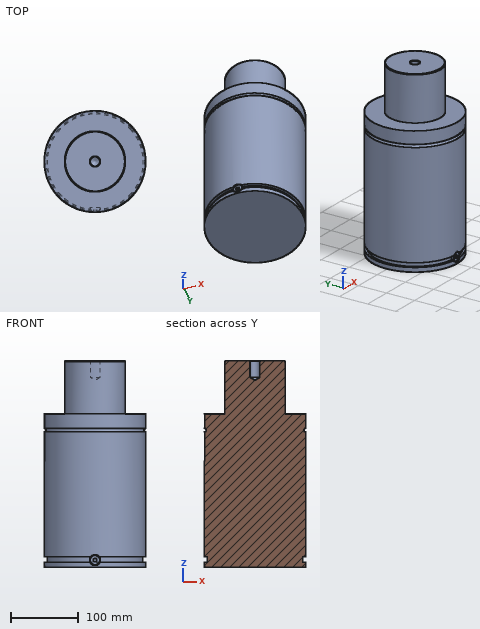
import cadquery as cq
import math

total_height = 305.0
body_diameter = 150.0
rod_diameter = 90.0
body_top = 226.5
rod_edge_chamfer = 1.2
body_radius = body_diameter / 2

flange_height = 7.5
groove_width = 7.5
groove_depth = 4.3

ring_groove_radius = 2.5
ring_groove_z = 202.5

rod_hole_diameter = 14.0
rod_hole_mouth_diameter = 16.0
rod_hole_depth = 24.5
drill_point_angle = 118

plug_bore_diameter = 16.0
plug_diameter = 14.0
plug_z = 10.7
plug_setback = 1.0
plug_bore_depth = 7.5
socket_across_flats = 5.0
socket_depth = 3.0


def cylinder(diameter, bottom, height):
    """Upright cylinder on the part axis."""
    return cq.Workplane("XY").workplane(offset=bottom).circle(diameter / 2).extrude(height)


def make_body():
    body = cylinder(body_diameter, 0, body_top)
    groove_floor = cylinder(body_diameter - 2 * groove_depth, flange_height, groove_width)
    groove = cylinder(body_diameter, flange_height, groove_width).cut(groove_floor)
    ring_groove = cq.Workplane("XY").add(
        cq.Solid.makeTorus(body_radius, ring_groove_radius, cq.Vector(0, 0, ring_groove_z))
    )
    return body.cut(groove).cut(ring_groove)


def make_rod():
    rod = cylinder(rod_diameter, 0, total_height)
    return rod.faces(">Z").chamfer(rod_edge_chamfer)


def make_rod_hole():
    """Drilled hole with a conical bottom and a 45 degree countersunk mouth."""
    mouth_depth = (rod_hole_mouth_diameter - rod_hole_diameter) / 2
    hole_radius = rod_hole_diameter / 2
    mouth_radius = rod_hole_mouth_diameter / 2
    bore_bottom = total_height - rod_hole_depth
    point_depth = hole_radius / math.tan(math.radians(drill_point_angle / 2))
    return (
        cq.Workplane("XZ")
        .moveTo(0, total_height)
        .lineTo(mouth_radius, total_height)
        .lineTo(hole_radius, total_height - mouth_depth)
        .lineTo(hole_radius, bore_bottom)
        .lineTo(0, bore_bottom - point_depth)
        .close()
        .revolve(360, (0, 0), (0, 1))
    )


def plug_plane(distance_from_axis):
    """Vertical work plane facing -Y, centred on the plug axis."""
    return cq.Workplane("XZ", origin=(0, -distance_from_axis, plug_z))


def make_plug_bore():
    return plug_plane(body_radius).circle(plug_bore_diameter / 2).extrude(-plug_bore_depth)


def make_plug():
    """Plug with a hexagon socket whose corners point up and down."""
    front = body_radius - plug_setback
    socket_across_corners = socket_across_flats / math.cos(math.radians(30))
    plug = plug_plane(front).circle(plug_diameter / 2).extrude(-plug_bore_depth)
    socket = (
        plug_plane(front)
        .transformed(rotate=(0, 0, 30))
        .polygon(6, socket_across_corners)
        .extrude(-socket_depth)
    )
    return plug.cut(socket)


body_with_rod = make_body().union(make_rod())
result = body_with_rod.cut(make_rod_hole()).cut(make_plug_bore()).union(make_plug())